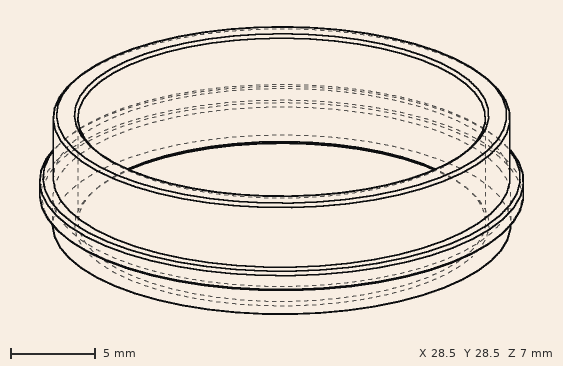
import cadquery as cq

height = 7.0
bore_diameter = 24.0

lower_diameter = 27.0
flange_diameter = 28.5
upper_diameter = 26.9
flange_bottom = 1.8
flange_top = 3.0

edge_chamfer = 0.2
flange_bottom_chamfer = 0.1


def cylinder(diameter, bottom, top):
    """Solid cylinder on the Z axis between two heights."""
    return cq.Workplane("XY").workplane(offset=bottom).circle(diameter / 2).extrude(top - bottom)


lower_seat = cylinder(lower_diameter, 0, flange_bottom)

flange = cylinder(flange_diameter, flange_bottom, flange_top)
flange = flange.edges(">Z").chamfer(edge_chamfer)
flange = flange.edges("<Z").chamfer(flange_bottom_chamfer)

upper_sleeve = cylinder(upper_diameter, flange_top, height).edges(">Z").chamfer(edge_chamfer)

ring = lower_seat.union(flange).union(upper_sleeve)
ring = ring.cut(cylinder(bore_diameter, 0, height))
bore_mouths = cq.selectors.RadiusNthSelector(0)
result = ring.faces(">Z or <Z").edges(bore_mouths).chamfer(edge_chamfer)